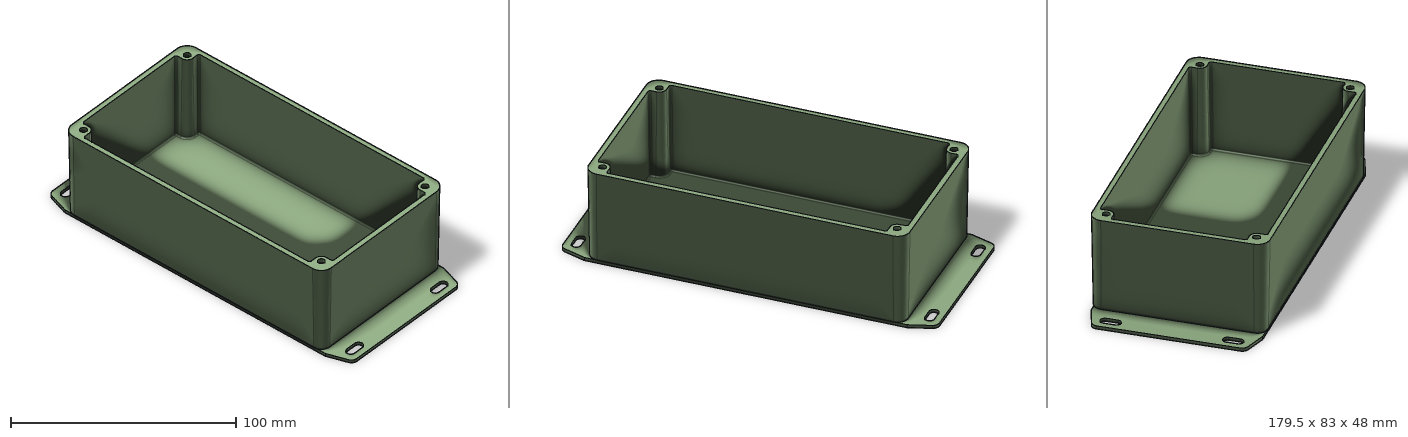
import cadquery as cq
import math

PLATE_LENGTH = 179.5
TOTAL_HEIGHT = 48.0

PLATE_THICKNESS = 1.6
PLATE_WIDTH = 79.9
SHOULDER_X = 76.8
PLATE_END_WIDTH = 71.5
PLATE_CORNER_RADIUS = 3.2
SLOT_LENGTH = 9.7
SLOT_WIDTH = 4.5
SLOT_ANGLE = 90
SLOT_X = 84.2
SLOT_Y = 28.5

BOX_LENGTH = 153.1
BOX_WIDTH = 83.0
BOX_CORNER_RADIUS = 6.0
OUTER_DRAFT = 1.0
BOTTOM_FILLET = 0.9
BOX_HEIGHT = TOTAL_HEIGHT - PLATE_THICKNESS

END_WALL = 2.7
SIDE_WALL = 2.5
FLOOR_THICKNESS = 2.0
CAVITY_DRAFT = 1.1
FLOOR_FILLET = 0.9
POST_RADIUS = 3.5
POST_ROOT_FILLET = 1.0

SCREW_X = 70.2
SCREW_Y = 35.0
SCREW_DIAMETER = 3.5
SCREW_DRAFT = 1.0
SCREW_TIP_ANGLE = 118
SCREW_DEPTH = BOX_HEIGHT / 2


def four_corners(x, y):
    """Points mirrored into all four quadrants."""
    return [(sx * x, sy * y) for sx in (-1, 1) for sy in (-1, 1)]


def make_plate():
    """Flat plate with tapered ears and a slot in each ear corner."""
    end_x = PLATE_LENGTH / 2
    side_y = PLATE_WIDTH / 2
    end_y = PLATE_END_WIDTH / 2
    plate = (
        cq.Workplane("XY")
        .polyline([
            (-end_x, -end_y), (-SHOULDER_X, -side_y), (SHOULDER_X, -side_y), (end_x, -end_y),
            (end_x, end_y), (SHOULDER_X, side_y), (-SHOULDER_X, side_y), (-end_x, end_y),
        ])
        .close()
        .extrude(PLATE_THICKNESS)
    )
    plate = plate.edges("|Z and (<X or >X)").fillet(PLATE_CORNER_RADIUS)
    return (
        plate.faces(">Z")
        .workplane(origin=(0, 0, 0))
        .pushPoints(four_corners(SLOT_X, SLOT_Y))
        .slot2D(SLOT_LENGTH, SLOT_WIDTH, SLOT_ANGLE)
        .cutThruAll()
    )


def make_shell():
    """Solid outside of the box, narrowing from the rim down to a rounded bottom edge."""
    rim = cq.Sketch().rect(BOX_LENGTH, BOX_WIDTH).vertices().fillet(BOX_CORNER_RADIUS)
    shell = (
        cq.Workplane("XY", origin=(0, 0, TOTAL_HEIGHT))
        .placeSketch(rim)
        .extrude(-BOX_HEIGHT, taper=OUTER_DRAFT)
    )
    return shell.faces("<Z").edges().fillet(BOTTOM_FILLET)


def make_cavity():
    """Inside of the box: a drafted pocket whose corners step around the screw posts."""
    post_x = SCREW_X - POST_RADIUS
    post_y = SCREW_Y - POST_RADIUS
    post_corners = cq.selectors.BoxSelector((-SCREW_X, -SCREW_Y, -1.8), (SCREW_X, SCREW_Y, 1.8))
    rim = (
        cq.Sketch()
        .rect(BOX_LENGTH - 2 * END_WALL, 2 * post_y)
        .rect(2 * post_x, BOX_WIDTH - 2 * SIDE_WALL)
        .clean()
        .reset()
        .vertices(post_corners)
        .fillet(POST_RADIUS)
        .reset()
    )
    cavity = (
        cq.Workplane("XY", origin=(0, 0, TOTAL_HEIGHT))
        .placeSketch(rim)
        .extrude(-(BOX_HEIGHT - FLOOR_THICKNESS), taper=CAVITY_DRAFT)
    )
    post_roots = cavity.edges("not #Z").edges("<X or >X or <Y or >Y")
    cavity = post_roots.fillet(POST_ROOT_FILLET)
    return cavity.faces("<Z").edges().fillet(FLOOR_FILLET)


def make_screw_hole(x, y):
    """Blind hole narrowing downwards to a conical tip."""
    top_radius = SCREW_DIAMETER / 2
    bottom_radius = top_radius - SCREW_DEPTH * math.tan(math.radians(SCREW_DRAFT))
    tip_depth = bottom_radius / math.tan(math.radians(SCREW_TIP_ANGLE / 2))
    return (
        cq.Workplane("XZ")
        .polyline([
            (0, 0), (top_radius, 0), (bottom_radius, -SCREW_DEPTH), (0, -SCREW_DEPTH - tip_depth),
        ])
        .close()
        .revolve(360, (0, 0, 0), (0, 1, 0))
        .translate((x, y, TOTAL_HEIGHT))
    )


def make_box():
    """Open box with a screw hole in each corner post."""
    box = make_shell().cut(make_cavity())
    for x, y in four_corners(SCREW_X, SCREW_Y):
        box = box.cut(make_screw_hole(x, y))
    return box


plate = make_plate()
box = make_box()
result = cq.Compound.makeCompound([plate.val(), box.val()])